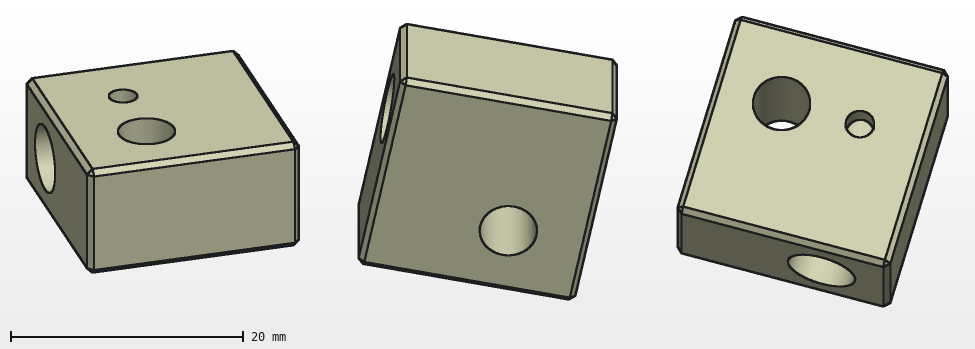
import cadquery as cq

side = 19.0
height = 10.0
edge_chamfer = 0.5

bore_diameter = 6.0
bore_x = 6.0
bore_z = height / 2
through_hole_diameter = 4.92
through_hole_x = 13.0
small_hole_diameter = 2.45
small_hole_x = bore_x
vertical_holes_y = 7.0


def vertical_hole(diameter, x, bottom_z):
    """Cutter for a hole drilled from the top face down to bottom_z."""
    return (
        cq.Workplane("XY", origin=(x, vertical_holes_y, bottom_z))
        .circle(diameter / 2)
        .extrude(height - bottom_z)
    )


block = cq.Workplane("XY").box(side, side, height, centered=False).edges().chamfer(edge_chamfer)

bore = cq.Workplane("XZ", origin=(bore_x, 0, bore_z)).circle(bore_diameter / 2).extrude(-side)

through_hole = vertical_hole(through_hole_diameter, through_hole_x, 0)

small_hole = vertical_hole(small_hole_diameter, small_hole_x, bore_z)

result = block.cut(bore).cut(through_hole).cut(small_hole)